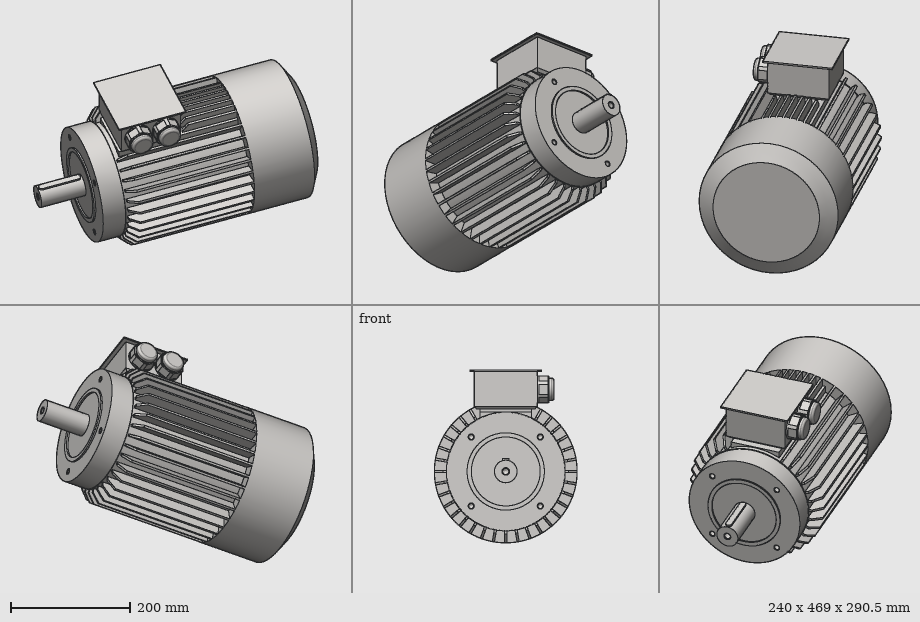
import cadquery as cq
import math


back_y = 389.5
cover_front_y = 264.5
cover_cone_length = 17.0
flange_thickness = 41.0
fin_front_y = 44.0

cover_dia = 240.0
cover_back_dia = 184.0
barrel_dia = 197.0
flange_dia = 200.0

fin_thickness = 3.8
fin_taper = 15.0
fin_root_overlap = 4.5
fin_pitch_angle = 10
pad_half_angle = 20

pad_width = 86.5
pad_top_z = 100.0
pad_front_y = 49.5
pad_fin_count = 7
pad_fin_span = 72.0
pad_fin_front_y = 166.5
pad_fin_taper = 10.5

box_center_y = 104.0
box_side = 106.0
box_bottom_z = 104.5
box_chamfer = 4.5
neck_inset = 14.0
lid_side = 120.0
lid_thickness = 3.0
lid_top_z = 170.5

gland_spacing = 49.5
gland_z = 138.0
gland_dia = 45.5
gland_across_flats = 42.0
gland_nut_chamfer = 1.5
gland_collar_end_x = 56.0
gland_nut_end_x = 72.5
gland_cap_end_x = 81.0
gland_cap_dia = 38.0
gland_cap_fillet = 4.0

spigot_dia = 130.0
spigot_recess_dia = 116.0
spigot_height = 3.0
bolt_circle_dia = 164.0
bolt_hole_count = 4
bolt_mouth_dia = 10.5
bolt_hole_dia = 8.5
bolt_hole_depth = 18.8

shaft_dia = 38.0
shaft_length = 79.5
shaft_mouth_dia = 12.5
shaft_hole_dia = 10.5
shaft_hole_depth = 18.8
key_width = 10.5
key_top_z = 21.5
key_end_gap = 2.0

drill_tip_angle = 118

cover_radius = cover_dia / 2
barrel_radius = barrel_dia / 2


def revolve_about_y(points):
    """Solid of revolution about the Y axis from (radius, y) points."""
    return cq.Workplane("XY").polyline(points).close().revolve(360, (0, 0), (0, 1))


def cylinder_y(diameter, y_start, y_end):
    """Cylinder on the Y axis between two Y stations."""
    radius = diameter / 2
    return revolve_about_y([(0, y_start), (radius, y_start), (radius, y_end), (0, y_end)])


def block(width, depth, z_bottom, z_top, center_y):
    """Upright block centered on X = 0."""
    return (
        cq.Workplane("XY", origin=(0, center_y, z_bottom))
        .rect(width, depth)
        .extrude(z_top - z_bottom)
    )


def drilled_hole(mouth_dia, hole_dia, depth, face_y):
    """Blind hole along +Y with a 45 degree countersink and a drill tip."""
    mouth_radius = mouth_dia / 2
    hole_radius = hole_dia / 2
    tip_length = hole_radius / math.tan(math.radians(drill_tip_angle / 2))
    return revolve_about_y([
        (0, face_y),
        (mouth_radius, face_y),
        (hole_radius, face_y + mouth_radius - hole_radius),
        (hole_radius, face_y + depth),
        (0, face_y + depth + tip_length),
    ])


def fin_envelope(front_y, taper):
    """Round volume that trims fins to the cover diameter, beveled at the front."""
    return revolve_about_y([
        (0, front_y),
        (cover_radius - taper, front_y),
        (cover_radius, front_y + taper),
        (cover_radius, cover_front_y),
        (0, cover_front_y),
    ])


def body():
    """Fan cover with its conical back, barrel and mounting flange."""
    cone_start_y = back_y - cover_cone_length
    cover = revolve_about_y([
        (0, cover_front_y),
        (cover_radius, cover_front_y),
        (cover_radius, cone_start_y),
        (cover_back_dia / 2, back_y),
        (0, back_y),
    ])
    barrel = cylinder_y(barrel_dia, 0, cover_front_y)
    flange = cylinder_y(flange_dia, 0, flange_thickness)
    return cover.union(barrel).union(flange)


def radial_fins():
    """Fins around the barrel, left out in the sector taken by the pad."""
    length = cover_front_y - fin_front_y
    root_radius = barrel_radius - fin_root_overlap
    fin = cq.Workplane("XY").box(
        cover_radius - root_radius, length, fin_thickness, centered=(False, False, True)
    ).translate((root_radius, fin_front_y, 0))
    fins = cq.Workplane("XY")
    first_angle = 90 + pad_half_angle + fin_pitch_angle
    last_angle = 90 + 360 - pad_half_angle - fin_pitch_angle
    for angle in range(first_angle, last_angle + 1, fin_pitch_angle):
        fins = fins.add(fin.rotate((0, 0, 0), (0, 1, 0), -angle))
    fins = fins.combine()
    return fins.intersect(fin_envelope(fin_front_y, fin_taper))


def pad():
    """Flat-topped pad along the barrel with its row of upright fins."""
    length = cover_front_y - pad_front_y
    base = block(pad_width, length, 0, pad_top_z, pad_front_y + length / 2)
    fin_length = cover_front_y - pad_fin_front_y
    fin_center_y = pad_fin_front_y + fin_length / 2
    pitch = pad_fin_span / (pad_fin_count - 1)
    fins = cq.Workplane("XY")
    for index in range(pad_fin_count):
        x = index * pitch - pad_fin_span / 2
        fin = block(fin_thickness, fin_length, barrel_radius / 2, cover_radius, fin_center_y)
        fins = fins.add(fin.translate((x, 0, 0)))
    fins = fins.combine().intersect(fin_envelope(pad_fin_front_y, pad_fin_taper))
    return base.union(fins)


def terminal_box():
    """Box with beveled bottom, overhanging lid and a neck down to the pad."""
    lid_bottom_z = lid_top_z - lid_thickness
    box = block(box_side, box_side, box_bottom_z, lid_bottom_z, box_center_y)
    box = box.faces("<Z").chamfer(box_chamfer)
    lid = block(lid_side, lid_side, lid_bottom_z, lid_top_z, box_center_y)
    neck_depth = box_side - 2 * neck_inset
    neck = block(pad_width, neck_depth, 0, box_bottom_z, box_center_y)
    return box.union(lid).union(neck)


def cable_gland(y):
    """Round collar, hexagon nut with rounded corners and a domed-edge cap."""
    def round_length(diameter, x_start, x_end):
        plane = cq.Workplane("YZ", origin=(x_start, y, gland_z))
        return plane.circle(diameter / 2).extrude(x_end - x_start)

    collar = round_length(gland_dia, 0, gland_collar_end_x)
    nut_length = gland_nut_end_x - gland_collar_end_x
    across_corners = gland_across_flats / math.cos(math.radians(30))
    nut = (
        cq.Workplane("YZ", origin=(gland_collar_end_x, y, gland_z))
        .transformed(rotate=(0, 0, 30))
        .polygon(6, across_corners)
        .extrude(nut_length)
        .intersect(round_length(gland_dia, gland_collar_end_x, gland_nut_end_x))
        .faces(">X")
        .chamfer(gland_nut_chamfer)
    )
    cap = round_length(gland_cap_dia, gland_collar_end_x, gland_cap_end_x)
    cap = cap.faces(">X").edges().fillet(gland_cap_fillet)
    return collar.union(nut).union(cap)


def spigot():
    """Centering ring on the flange face."""
    ring = cylinder_y(spigot_dia, -spigot_height, 0)
    return ring.cut(cylinder_y(spigot_recess_dia, -spigot_height, 0))


def shaft():
    """Output shaft with a round-ended key on top and a drilled center hole."""
    bar = cylinder_y(shaft_dia, -shaft_length, flange_thickness)
    key_start_y = -shaft_length + key_end_gap
    key_length = -spigot_height - key_start_y
    key = (
        cq.Workplane("XY", origin=(0, key_start_y + key_length / 2, 0))
        .slot2D(key_length, key_width, 90)
        .extrude(key_top_z)
    )
    center_hole = drilled_hole(shaft_mouth_dia, shaft_hole_dia, shaft_hole_depth, -shaft_length)
    return bar.union(key).cut(center_hole)


def bolt_holes():
    """Blind flange holes on the bolt circle, on the diagonals."""
    hole = drilled_hole(bolt_mouth_dia, bolt_hole_dia, bolt_hole_depth, 0)
    hole = hole.translate((bolt_circle_dia / 2, 0, 0))
    step = 360 / bolt_hole_count
    holes = cq.Workplane("XY")
    for index in range(bolt_hole_count):
        holes = holes.add(hole.rotate((0, 0, 0), (0, 1, 0), step * (index + 0.5)))
    return holes.combine()


motor = body().union(radial_fins()).union(pad()).union(terminal_box())
for side in (-1, 1):
    motor = motor.union(cable_gland(box_center_y + side * gland_spacing / 2))
result = motor.union(spigot()).cut(bolt_holes()).union(shaft())